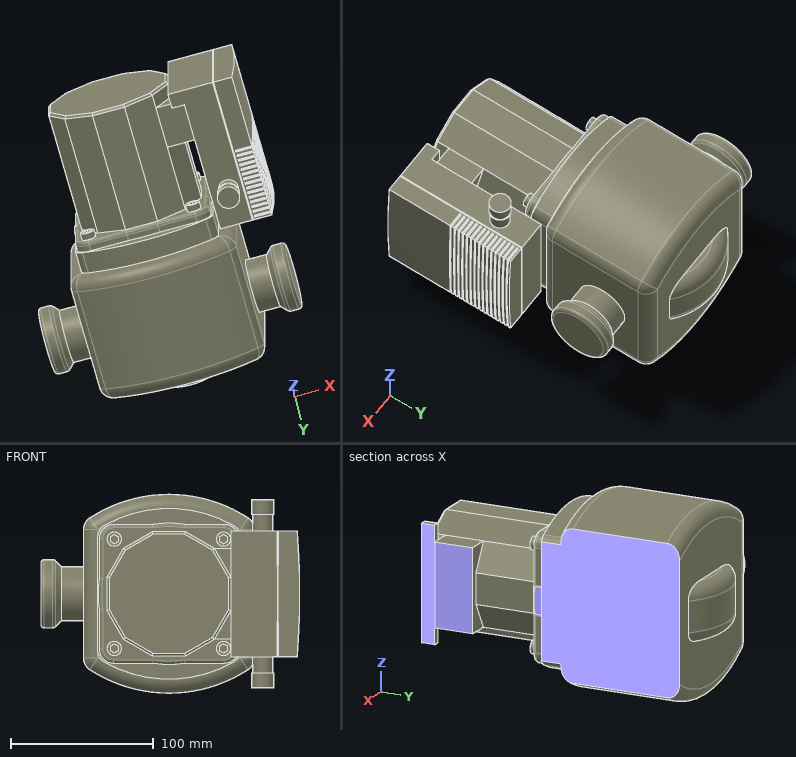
import cadquery as cq
import math


TOTAL_LENGTH = 216.5
DOME_BACK_Y = 54.1
HOUSING_BACK_Y = 40.3
HOUSING_FRONT_Y = -52.8
NECK_FRONT_Y = -68.0
FLANGE_FRONT_Y = -74.7
MOTOR_FRONT_Y = DOME_BACK_Y - TOTAL_LENGTH

ROUNDING = 10.0
HOUSING_HALF_WIDTH = 60.0
HOUSING_HALF_HEIGHT = 139.7 / 2
HOUSING_ARC_RADIUS = 101.5
DOME_RADIUS = 52.0
DOME_HALF_HEIGHT = 21.7

PIPE_END_X = 89.9
PIPE_RADIUS = 19.0
COLLAR_RADIUS = 24.0
COLLAR_LENGTH = 9.5
COLLAR_FACE_ROUNDING = 2.4
COLLAR_BACK_ROUNDING = 3.2
SELECTION_MARGIN = 0.2

FLANGE_HALF_WIDTH = 48.7
FLANGE_EDGE_ROUNDING = 2.4
BUMP_HALF_LENGTH = 11.3
BUMP_HEIGHT = 0.9

MOTOR_SIDES = 12
MOTOR_APOTHEM = 43.5
MOTOR_CHAMFER = 1.7
MOTOR_CIRCUMRADIUS = MOTOR_APOTHEM / math.cos(math.pi / MOTOR_SIDES)
BRACKET_BACK_Y = -121.5
BRACKET_FRONT_Y = -151.2
BRACKET_HALF_HEIGHT = MOTOR_CIRCUMRADIUS * math.sin(math.pi / 4)

SCREW_OFFSET = 38.3
SCREW_HEAD_RADIUS = 5.0
SCREW_HEAD_HEIGHT = 4.8
SOCKET_ACROSS_FLATS = 5.6
SOCKET_DEPTH = 2.5

BOX_BACK_Y = -57.5
BOX_FRONT_Y = -161.5
BOX_INNER_X = 52.6
BOX_OUTER_X = 76.0
BOX_HALF_HEIGHT = 44.2
BOX_LENGTH = BOX_BACK_Y - BOX_FRONT_Y

GLAND_X = 65.8
GLAND_Y = -83.5
GLAND_STEM_RADIUS = 7.1
GLAND_CAP_RADIUS = 7.8
GLAND_CAP_Z = 55.7
GLAND_END_Z = 66.0

COVER_GAP = 0.6
COVER_INNER_X = BOX_OUTER_X + COVER_GAP
COVER_EDGE_X = 90.0
COVER_CREST_X = 91.8
COVER_MIDDLE_CREST_X = 90.7
VENT_COUNT = 15
VENT_ROW_LENGTH = 49.0
VENT_PITCH = VENT_ROW_LENGTH / (VENT_COUNT - 1)
VENT_WIDTH = 1.0
VENT_FIRST_OFFSET = 2.4
VENT_START_X = 78.2
VENT_DEPTH = 1.0


def plane_at(y):
    """Sketch plane across the motor axis; sketches on it extrude toward -Y."""
    return cq.Workplane("XZ", origin=(0, y, 0))


def barrel_prism(back_y, front_y, inset):
    """Prism with flat sides, arched top and bottom and rounded corners, inset from the housing."""
    half_width = HOUSING_HALF_WIDTH - inset
    crown = HOUSING_HALF_HEIGHT - inset
    radius = HOUSING_ARC_RADIUS - inset
    corner = crown - radius + math.sqrt(radius**2 - half_width**2)
    return (
        plane_at(back_y)
        .moveTo(-half_width, -corner)
        .lineTo(-half_width, corner)
        .threePointArc((0, crown), (half_width, corner))
        .lineTo(half_width, -corner)
        .threePointArc((0, -crown), (-half_width, -corner))
        .close()
        .extrude(back_y - front_y)
        .edges("|Y")
        .fillet(ROUNDING)
    )


def make_pipe():
    """Pipe stub with a rounded collar, on the -X side, running into the housing to the motor axis."""
    collar_back = -PIPE_END_X + COLLAR_LENGTH
    cone_end = collar_back + COLLAR_RADIUS - PIPE_RADIUS
    profile = [
        (-PIPE_END_X, 0),
        (-PIPE_END_X, COLLAR_RADIUS),
        (collar_back, COLLAR_RADIUS),
        (cone_end, PIPE_RADIUS),
        (0, PIPE_RADIUS),
        (0, 0),
    ]
    pipe = cq.Workplane("XZ").polyline(profile).close().revolve(360, (0, 0), (1, 0))
    pipe = pipe.faces("<X").edges().fillet(COLLAR_FACE_ROUNDING)
    collar_back_edge = cq.selectors.BoxSelector(
        (collar_back - SELECTION_MARGIN, -COLLAR_RADIUS, -COLLAR_RADIUS),
        (collar_back + SELECTION_MARGIN, COLLAR_RADIUS, COLLAR_RADIUS),
    )
    return pipe.edges(collar_back_edge).fillet(COLLAR_BACK_ROUNDING)


def make_housing():
    body = barrel_prism(HOUSING_BACK_Y, HOUSING_FRONT_Y, 0).faces("<Y or >Y").edges().fillet(ROUNDING)
    neck = barrel_prism(HOUSING_FRONT_Y, NECK_FRONT_Y, ROUNDING)
    dome = (
        cq.Workplane("XY", origin=(0, DOME_BACK_Y - DOME_RADIUS, -DOME_HALF_HEIGHT))
        .circle(DOME_RADIUS)
        .extrude(2 * DOME_HALF_HEIGHT)
        .edges()
        .fillet(ROUNDING)
    )
    pipe = make_pipe()
    return body.union(neck).union(dome).union(pipe).union(pipe.mirror("YZ"))


def make_flange():
    """Square plate with rounded corners and a slight bump in the middle of each side."""
    thickness = NECK_FRONT_Y - FLANGE_FRONT_Y
    crest = FLANGE_HALF_WIDTH + BUMP_HEIGHT
    flange = plane_at(NECK_FRONT_Y).rect(2 * FLANGE_HALF_WIDTH, 2 * FLANGE_HALF_WIDTH).extrude(thickness)
    flange = flange.edges("|Y").fillet(ROUNDING)
    bump = (
        plane_at(NECK_FRONT_Y)
        .moveTo(0, -BUMP_HALF_LENGTH)
        .lineTo(FLANGE_HALF_WIDTH, -BUMP_HALF_LENGTH)
        .threePointArc((crest, 0), (FLANGE_HALF_WIDTH, BUMP_HALF_LENGTH))
        .lineTo(0, BUMP_HALF_LENGTH)
        .close()
        .extrude(thickness)
    )
    for side in range(4):
        flange = flange.union(bump.rotate((0, 0, 0), (0, 1, 0), 90 * side))
    return flange.faces("<Y").edges().fillet(FLANGE_EDGE_ROUNDING)


def make_motor():
    barrel = (
        plane_at(FLANGE_FRONT_Y)
        .transformed(rotate=(0, 0, 180 / MOTOR_SIDES))
        .polygon(MOTOR_SIDES, 2 * MOTOR_CIRCUMRADIUS)
        .extrude(FLANGE_FRONT_Y - MOTOR_FRONT_Y)
        .faces("<Y")
        .chamfer(MOTOR_CHAMFER)
    )
    bracket = cq.Workplane("XY").box(
        BOX_INNER_X, BRACKET_BACK_Y - BRACKET_FRONT_Y, 2 * BRACKET_HALF_HEIGHT, centered=(False, False, True)
    )
    return make_flange().union(barrel).union(bracket.translate((0, BRACKET_FRONT_Y, 0)))


def make_screw(x, z):
    """Socket head resting on the flange."""
    return (
        plane_at(FLANGE_FRONT_Y)
        .center(x, z)
        .circle(SCREW_HEAD_RADIUS)
        .extrude(SCREW_HEAD_HEIGHT)
        .faces("<Y")
        .workplane()
        .polygon(6, SOCKET_ACROSS_FLATS, circumscribed=True)
        .cutBlind(-SOCKET_DEPTH)
    )


def make_gland():
    """Cable gland on the top of the terminal box."""
    stem = (
        cq.Workplane("XY", origin=(GLAND_X, GLAND_Y, BOX_HALF_HEIGHT))
        .circle(GLAND_STEM_RADIUS)
        .extrude(GLAND_CAP_Z - BOX_HALF_HEIGHT)
    )
    return stem.faces(">Z").workplane().circle(GLAND_CAP_RADIUS).extrude(GLAND_END_Z - GLAND_CAP_Z)


def make_terminal_box():
    """Box with a lip that reaches in front of the bracket to the motor barrel."""
    outline = [
        (BOX_INNER_X, BOX_BACK_Y),
        (BOX_OUTER_X, BOX_BACK_Y),
        (BOX_OUTER_X, BOX_FRONT_Y),
        (MOTOR_APOTHEM, BOX_FRONT_Y),
        (MOTOR_APOTHEM, BRACKET_FRONT_Y),
        (BOX_INNER_X, BRACKET_FRONT_Y),
    ]
    box = cq.Workplane("XY").polyline(outline).close().extrude(BOX_HALF_HEIGHT, both=True)
    gland = make_gland()
    return box.union(gland).union(gland.mirror("XY"))


def cover_section(y, crest_x, inset):
    """Cross-section wire of the cover, bulging outward to crest_x, inset on all sides but the inner one."""
    half_height = BOX_HALF_HEIGHT - inset
    edge_x = COVER_EDGE_X - inset
    return (
        plane_at(y)
        .moveTo(COVER_INNER_X, -half_height)
        .lineTo(edge_x, -half_height)
        .threePointArc((crest_x - inset, 0), (edge_x, half_height))
        .lineTo(COVER_INNER_X, half_height)
        .close()
        .val()
    )


def cover_block(inset):
    """Bulged block whose bulge is slightly lower at mid-length."""
    sections = [
        cover_section(BOX_BACK_Y, COVER_CREST_X, inset),
        cover_section(BOX_BACK_Y - BOX_LENGTH / 2, COVER_MIDDLE_CREST_X, inset),
        cover_section(BOX_FRONT_Y, COVER_CREST_X, inset),
    ]
    return cq.Workplane(cq.Solid.makeLoft(sections))


def make_cover():
    """Cover with a row of shallow vent grooves that wrap over its top, outer face and bottom."""
    cover = cover_block(0)
    groove_floor = cover_block(VENT_DEPTH)
    slab_length = COVER_CREST_X - VENT_START_X
    slab = cq.Workplane("XY").box(slab_length, VENT_WIDTH, 2 * BOX_HALF_HEIGHT)
    slab = slab.translate((VENT_START_X + slab_length / 2, 0, 0))
    for index in range(VENT_COUNT):
        groove_y = BOX_BACK_Y - VENT_FIRST_OFFSET - index * VENT_PITCH
        groove = slab.translate((0, groove_y, 0)).cut(groove_floor)
        cover = cover.cut(groove)
    return cover


housing = make_housing()
motor = make_motor()
screws = [make_screw(x, z) for x in (-SCREW_OFFSET, SCREW_OFFSET) for z in (-SCREW_OFFSET, SCREW_OFFSET)]
terminal_box = make_terminal_box()
cover = make_cover()

result = cq.Compound.makeCompound(
    [housing.val(), motor.val(), *[screw.val() for screw in screws], terminal_box.val(), cover.val()]
)